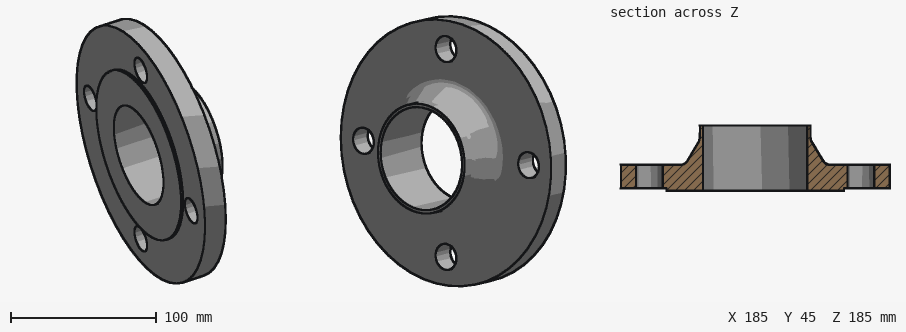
import cadquery as cq

flange_diameter = 185.0
overall_length = 45.0
raised_face_diameter = 122.1
raised_face_height = 1.7
plate_thickness = 16.3
bore_diameter = 71.5
neck_diameter = 76.2
hub_base_diameter = 96.5
neck_length = 10.0
blend_radius = 6.0
bolt_circle_diameter = 145.0
bolt_hole_diameter = 18.1
bolt_count = 4

face_y = -overall_length / 2
plate_front_y = face_y + raised_face_height
plate_back_y = plate_front_y + plate_thickness
neck_end_y = overall_length / 2
cone_top_y = neck_end_y - neck_length


def cylinder(diameter, start_y, end_y):
    """Solid cylinder about the Y axis between two stations."""
    base = cq.Workplane("XZ", origin=(0, start_y, 0))
    return base.circle(diameter / 2).extrude(start_y - end_y)


def flange_body():
    """Raised face, plate, conical hub and neck as one revolved solid."""
    profile = (
        cq.Workplane("XY")
        .moveTo(0, face_y)
        .lineTo(raised_face_diameter / 2, face_y)
        .lineTo(raised_face_diameter / 2, plate_front_y)
        .lineTo(flange_diameter / 2, plate_front_y)
        .lineTo(flange_diameter / 2, plate_back_y)
        .lineTo(hub_base_diameter / 2, plate_back_y)
        .lineTo(neck_diameter / 2, cone_top_y)
        .lineTo(neck_diameter / 2, neck_end_y)
        .lineTo(0, neck_end_y)
        .close()
    )
    return profile.revolve(360, (0, 0, 0), (0, 1, 0))


def blend_hub(body):
    """Round the two concave circles at the ends of the hub cone."""
    margin = 0.2
    radius = hub_base_diameter / 2 + margin
    hub_zone = cq.selectors.BoxSelector(
        (-radius, plate_back_y - margin, -radius),
        (radius, cone_top_y + margin, radius),
        boundingbox=True,
    )
    return body.edges("%CIRCLE").edges(hub_zone).fillet(blend_radius)


def bolt_holes():
    """Through holes evenly spaced on the bolt circle."""
    return (
        cq.Workplane("XZ", origin=(0, face_y, 0))
        .polarArray(bolt_circle_diameter / 2, 0, 360, bolt_count)
        .circle(bolt_hole_diameter / 2)
        .extrude(-overall_length)
    )


result = (
    blend_hub(flange_body())
    .cut(cylinder(bore_diameter, face_y, neck_end_y))
    .cut(bolt_holes())
)